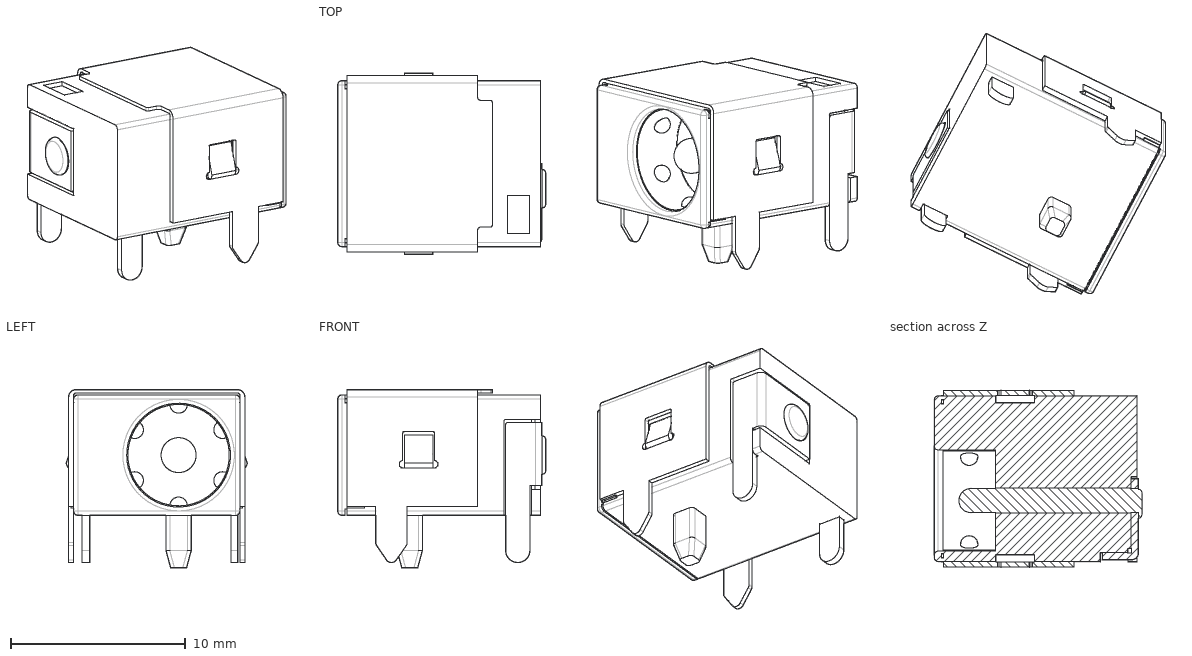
import cadquery as cq
import math


housing_length = 11.6
housing_half_width = 4.75
housing_height = 6.9
edge_radius = 0.24
flange_length = 0.43
shell_front = 0.52
corner_gap_depth = 0.45
bottom_gap_depth = 0.36
gap_strip_thickness = 0.24

axis_y = -1.25
axis_z = 3.45
bore_radius = 2.97
bore_rim_radius = 0.22
cavity_depth = 3.5
sleeve_front = 0.5
sleeve_inner_radius = 2.9
dome_radius = 0.5
dome_reach = 2.4
dome_x = 2.0
dome_count = 6
pin_radius = 1.0
pin_tip_x = 1.1

peg_x = 4.12
peg_width = 1.46
peg_length = 3.0
peg_straight_length = 2.0
peg_tip_width = 0.92
peg_edge_radius = 0.23

shell_rear = 8.0
shell_top = 7.2
shell_top_thickness = 0.2
shell_side_thickness = 0.3
shell_half_width = housing_half_width + shell_side_thickness
shell_side_bottom = 0.52
shell_bend_radius = 0.44
shell_inner_bend_radius = 0.15
tab_length = 0.84
tab_half_width = 3.62
tab_root_radius = 0.2
tab_corner_radius = 0.1
ledge_length = 1.0
ledge_height = 0.1
ledge_depth = 0.15

leg_bottom = -2.7
shell_leg_x = 3.07
shell_leg_width = 1.8
shell_leg_shoulder_z = -1.65
shell_leg_slope = 1.46
shell_leg_shoulder_radius = 0.3

latch_x = 4.625
latch_bottom = 2.72
window_top = 4.79
window_width = 1.82
window_corner_radius = 0.1
window_ear_top = 3.14
window_ear_width = 2.2
window_ear_radius = 0.2
flap_width = 1.63
flap_top = 4.6
flap_peak_z = 3.0
flap_peak_y = 5.18
flap_bulge = 0.03
flap_top_y = 4.66
flap_thickness = 0.26
flap_inner_bend_z = 3.5
latch_recess_depth = 0.4

contact_thickness = 0.4
contact_leg_x = 10.3
contact_leg_width = 1.4
contact_outer_y = -4.64
contact_inner_y = contact_outer_y + contact_thickness
contact_rear = 11.68
contact_inner_x = contact_rear - contact_thickness
contact_bottom = 1.71
contact_top = 5.32
contact_edge_y = 0.0
contact_bend_radius = 0.38
contact_corner_radius = 0.15
contact_clearance = 0.1
recess_corner_x = 11.07
recess_corner_y = -4.0
recess_bottom = 1.48
recess_top = 5.48
recess_left = contact_leg_x - contact_leg_width / 2 - contact_clearance
recess_corner_radius = 0.1

rivet_radius = 1.1
rivet_rear = 11.9
rivet_edge_radius = 0.2
rivet_y = -1.43

terminal_outer_y = 4.28
terminal_thickness = 0.45
terminal_top = 2.0

pocket_x = 10.35
pocket_y = -2.9
pocket_length = 1.26
pocket_width = 2.18
pocket_depth = 0.25

selection_margin = 0.1


def box(x0, x1, y0, y1, z0, z1):
    """Box given by its limits along each axis."""
    return cq.Workplane("XY").box(x1 - x0, y1 - y0, z1 - z0, centered=False).translate((x0, y0, z0))


def rod(radius, x0, x1):
    """Cylinder on the jack axis from x0 to x1."""
    plane = cq.Plane(origin=(x0, axis_y, axis_z), xDir=(0, 1, 0), normal=(1, 0, 0))
    return cq.Workplane(plane).circle(radius).extrude(x1 - x0)


def side_plate(sketch, y_low, thickness):
    """Extrude an XZ outline towards +Y, starting at y_low."""
    return sketch.extrude(-thickness).translate((0, y_low, 0))


def round_ended_leg(top, y_low, thickness):
    """Flat leg whose lower end is a half circle."""
    radius = contact_leg_width / 2
    left = contact_leg_x - radius
    right = contact_leg_x + radius
    outline = (
        cq.Workplane("XZ")
        .moveTo(left, top)
        .lineTo(left, leg_bottom + radius)
        .threePointArc((contact_leg_x, leg_bottom), (right, leg_bottom + radius))
        .lineTo(right, top)
        .close()
    )
    return side_plate(outline, y_low, thickness)


def corner_gap():
    """Gap behind the front flange, open at the corners and along the bottom."""
    core_y = housing_half_width - corner_gap_depth
    core_top = housing_height - corner_gap_depth
    strip_y = housing_half_width - gap_strip_thickness
    strip_z = housing_height - gap_strip_thickness
    x = (flange_length, shell_front)
    gap = box(*x, -housing_half_width, housing_half_width, core_top, strip_z)
    gap = gap.union(box(*x, -housing_half_width, housing_half_width, 0, bottom_gap_depth))
    for y0, y1, slot_y1 in (
        (core_y, housing_half_width, strip_y),
        (-core_y, -housing_half_width, -strip_y),
    ):
        gap = gap.union(box(*x, min(y0, slot_y1), max(y0, slot_y1), 0, housing_height))
        gap = gap.union(box(*x, min(y0, y1), max(y0, y1), core_top, housing_height))
    return gap


def peg():
    """Square locating peg with a tapered end."""
    offset = (peg_x, axis_y, 0)
    straight = cq.Workplane("XY").rect(peg_width, peg_width).extrude(-peg_straight_length)
    tip = (
        cq.Workplane("XY", origin=(0, 0, -peg_straight_length))
        .rect(peg_width, peg_width)
        .workplane(offset=peg_straight_length - peg_length)
        .rect(peg_tip_width, peg_tip_width)
        .loft(ruled=True)
    )
    straight = straight.edges("|Z").fillet(peg_edge_radius)
    tip = tip.edges("not #Z").fillet(peg_edge_radius)
    return straight.union(tip).translate(offset)


def contact_recess():
    """Space in the housing side and rear for the rear contact."""
    side_outline = (
        cq.Workplane("XZ")
        .moveTo(recess_left, 0)
        .lineTo(recess_left, recess_top - recess_corner_radius)
        .radiusArc((recess_left + recess_corner_radius, recess_top), recess_corner_radius)
        .lineTo(recess_corner_x, recess_top)
        .lineTo(recess_corner_x, 0)
        .close()
    )
    side_depth = contact_inner_y + housing_half_width
    side = side_plate(side_outline, -housing_half_width, side_depth)
    bend = box(
        recess_corner_x, housing_length, -housing_half_width, recess_corner_y, recess_bottom, recess_top
    )
    rear = box(
        contact_inner_x, housing_length, recess_corner_y, contact_edge_y + contact_clearance,
        recess_bottom, recess_top,
    )
    return side.union(bend).union(rear)


def latch_recess():
    """Recess on the +Y side that the inner end of a latch flap reaches into."""
    return box(
        latch_x - window_ear_width / 2, latch_x + window_ear_width / 2,
        housing_half_width - latch_recess_depth, housing_half_width,
        latch_bottom, window_top,
    )


def ledge():
    """Short ledge on the +Y side under the front end of the shell wall."""
    return box(
        shell_front, shell_front + ledge_length,
        housing_half_width, housing_half_width + ledge_depth,
        shell_side_bottom - ledge_height, shell_side_bottom,
    )


def make_housing():
    body = box(0, housing_length, -housing_half_width, housing_half_width, 0, housing_height)
    body = body.edges("|X").fillet(edge_radius)
    body = body.faces("<X").edges().fillet(edge_radius)
    body = body.cut(rod(bore_radius, 0, cavity_depth))
    body = body.faces("<X").edges("%CIRCLE").fillet(bore_rim_radius)
    body = body.cut(rod(pin_radius, cavity_depth, housing_length))
    body = body.cut(corner_gap()).cut(contact_recess())
    body = body.cut(
        box(
            pocket_x - pocket_length / 2, pocket_x + pocket_length / 2,
            pocket_y - pocket_width / 2, pocket_y + pocket_width / 2,
            housing_height - pocket_depth, housing_height,
        )
    )
    body = body.cut(make_terminal())
    body = body.cut(latch_recess()).cut(latch_recess().mirror("XZ"))
    body = body.union(ledge()).union(ledge().mirror("XZ"))
    return body.union(peg())


def make_terminal():
    return round_ended_leg(terminal_top, terminal_outer_y - terminal_thickness, terminal_thickness)


def make_sleeve():
    sleeve = rod(bore_radius, sleeve_front, cavity_depth)
    sleeve = sleeve.cut(rod(sleeve_inner_radius, sleeve_front, cavity_depth))
    center_radius = dome_reach + dome_radius
    for index in range(dome_count):
        angle = math.radians(90 + index * 360 / dome_count)
        center = (
            dome_x,
            axis_y + center_radius * math.cos(angle),
            axis_z + center_radius * math.sin(angle),
        )
        sleeve = sleeve.union(cq.Workplane("XY").sphere(dome_radius).translate(center))
    return sleeve.intersect(rod(bore_radius, sleeve_front, cavity_depth))


def make_pin():
    tip_center_x = pin_tip_x + pin_radius
    tip = cq.Workplane("XY").sphere(pin_radius).translate((tip_center_x, axis_y, axis_z))
    head = rod(rivet_radius, contact_rear, rivet_rear).translate((0, rivet_y - axis_y, 0))
    head = head.faces(">X").edges().fillet(rivet_edge_radius)
    return rod(pin_radius, tip_center_x, contact_rear).union(tip).union(head)


def make_contact():
    plate = box(
        contact_leg_x, contact_rear, contact_outer_y, contact_edge_y, contact_bottom, contact_top
    )
    plate = plate.edges("|Z and >X and <Y").fillet(contact_bend_radius)
    plate = plate.cut(
        box(contact_leg_x, contact_inner_x, contact_inner_y, contact_edge_y, contact_bottom, contact_top)
    )
    leg = round_ended_leg(contact_top, contact_outer_y, contact_thickness)
    leg = leg.edges("|Y and >Z and <X").fillet(contact_corner_radius)
    return leg.union(plate).cut(rod(pin_radius, cavity_depth, contact_rear))


def shell_leg():
    """Pointed leg below the +Y wall of the shell."""
    half = shell_leg_width / 2
    apex_z = shell_leg_shoulder_z - half * shell_leg_slope
    half_angle = math.atan(1 / shell_leg_slope)
    tip_radius = (leg_bottom - apex_z) / (1 / math.sin(half_angle) - 1)
    outline = (
        cq.Workplane("XZ")
        .moveTo(shell_leg_x - half, shell_side_bottom)
        .lineTo(shell_leg_x - half, shell_leg_shoulder_z)
        .lineTo(shell_leg_x, apex_z)
        .lineTo(shell_leg_x + half, shell_leg_shoulder_z)
        .lineTo(shell_leg_x + half, shell_side_bottom)
        .close()
    )
    leg = side_plate(outline, housing_half_width, shell_side_thickness)
    leg = leg.edges("|Y and <Z").fillet(tip_radius)
    shoulders = cq.selectors.BoxSelector(
        (shell_leg_x - shell_leg_width, 0, shell_leg_shoulder_z - selection_margin),
        (shell_leg_x + shell_leg_width, shell_half_width * 2, shell_leg_shoulder_z + selection_margin),
    )
    return leg.edges("|Y").edges(shoulders).fillet(shell_leg_shoulder_radius)


def latch_window():
    """Cutter for the window in the +Y wall, with two rounded ears at its lower end."""
    span = (housing_half_width, shell_half_width)
    window = box(
        latch_x - window_width / 2, latch_x + window_width / 2, *span, latch_bottom, window_top
    ).edges("|Y and >Z").fillet(window_corner_radius)
    ears = box(
        latch_x - window_ear_width / 2, latch_x + window_ear_width / 2, *span,
        latch_bottom, window_ear_top,
    ).edges("|Y").fillet(window_ear_radius)
    return window.union(ears)


def latch_flap():
    """Sloping flap in the +Y window, rooted at the bottom and leaning inwards at the top."""
    profile = (
        cq.Workplane("YZ")
        .moveTo(housing_half_width, latch_bottom)
        .lineTo(shell_half_width, latch_bottom)
        .threePointArc(
            ((shell_half_width + flap_peak_y) / 2 + flap_bulge, (latch_bottom + flap_peak_z) / 2),
            (flap_peak_y, flap_peak_z),
        )
        .lineTo(flap_top_y, flap_top)
        .lineTo(flap_top_y - flap_thickness, flap_top)
        .lineTo(housing_half_width, flap_inner_bend_z)
        .close()
    )
    return profile.extrude(flap_width).translate((latch_x - flap_width / 2, 0, 0))


def make_shell():
    outer = box(
        shell_front, shell_rear, -shell_half_width, shell_half_width, shell_side_bottom, shell_top
    ).edges("|X and >Z").fillet(shell_bend_radius)
    inner = box(
        shell_front, shell_rear, -housing_half_width, housing_half_width,
        shell_side_bottom, shell_top - shell_top_thickness,
    ).edges("|X and >Z").fillet(shell_inner_bend_radius)
    shell = outer.cut(inner)

    tab_end = shell_rear + tab_length
    tab = box(
        shell_rear, tab_end, -tab_half_width, tab_half_width, shell_top - shell_top_thickness, shell_top
    )
    shell = shell.union(tab)
    shell = shell.edges("|Z and >X").fillet(tab_corner_radius)
    roots = cq.selectors.BoxSelector(
        (shell_rear - selection_margin, -tab_half_width - selection_margin, shell_top - shell_top_thickness),
        (shell_rear + selection_margin, tab_half_width + selection_margin, shell_top),
    )
    shell = shell.edges("|Z").edges(roots).fillet(tab_root_radius)

    for side in (1, -1):
        window, flap, leg = (
            part if side > 0 else part.mirror("XZ")
            for part in (latch_window(), latch_flap(), shell_leg())
        )
        shell = shell.cut(window).union(flap).union(leg)
    return shell


housing = make_housing()
shell = make_shell()
sleeve = make_sleeve()
pin = make_pin()
contact = make_contact()
terminal = make_terminal()

result = cq.Compound.makeCompound(
    [housing.val(), shell.val(), sleeve.val(), pin.val(), contact.val(), terminal.val()]
)